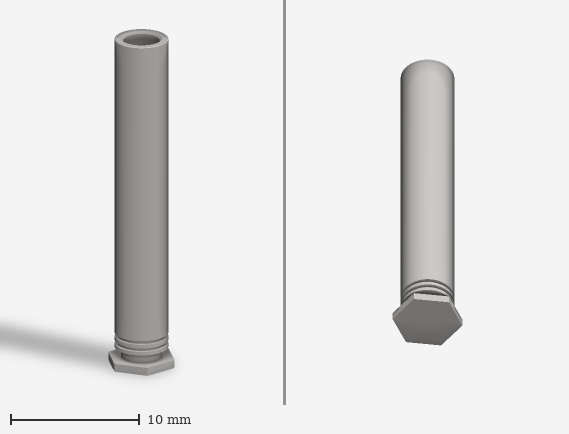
import cadquery as cq
import math

total_length = 27.0
hex_across_flats = 4.75
hex_thickness = 0.65

barrel_diameter = 4.18
barrel_edge_chamfer = 0.05
neck_diameter = 3.18
neck_top = 1.45
groove_diameter = 3.67
groove_width = 0.3
ring_width = 0.3
groove_count = 2

bore_diameter = 2.83
bore_mouth_diameter = 3.18
bore_depth = 9.5
drill_point_angle = 118.0


def hex_head():
    """Hexagonal foot with two corners on the X axis."""
    across_corners = hex_across_flats / math.cos(math.radians(30))
    return cq.Workplane("XY").polygon(6, across_corners).extrude(hex_thickness)


def neck():
    """Plain cylinder joining the foot to the barrel."""
    return cq.Workplane("XY").circle(neck_diameter / 2).extrude(neck_top)


def barrel():
    """Long cylinder with a small bevel around its top edge."""
    cylinder = (
        cq.Workplane("XY")
        .workplane(offset=neck_top)
        .circle(barrel_diameter / 2)
        .extrude(total_length - neck_top)
    )
    return cylinder.faces(">Z").edges().chamfer(barrel_edge_chamfer)


def groove(bottom):
    """Ring of material removed around the barrel."""
    return (
        cq.Workplane("XY")
        .workplane(offset=bottom)
        .circle(barrel_diameter / 2)
        .circle(groove_diameter / 2)
        .extrude(groove_width)
    )


def bore():
    """Blind drilled hole with a conical bottom and a 45 degree countersunk mouth."""
    bore_radius = bore_diameter / 2
    mouth_radius = bore_mouth_diameter / 2
    mouth_depth = mouth_radius - bore_radius
    bore_bottom = total_length - bore_depth
    point_height = bore_radius / math.tan(math.radians(drill_point_angle / 2))
    return (
        cq.Workplane("XZ")
        .moveTo(0, bore_bottom - point_height)
        .lineTo(bore_radius, bore_bottom)
        .lineTo(bore_radius, total_length - mouth_depth)
        .lineTo(mouth_radius, total_length)
        .lineTo(0, total_length)
        .close()
        .revolve(360, (0, 0, 0), (0, 1, 0))
    )


result = hex_head().union(neck()).union(barrel())

for index in range(groove_count):
    groove_bottom = neck_top + ring_width + index * (groove_width + ring_width)
    result = result.cut(groove(groove_bottom))

result = result.cut(bore())